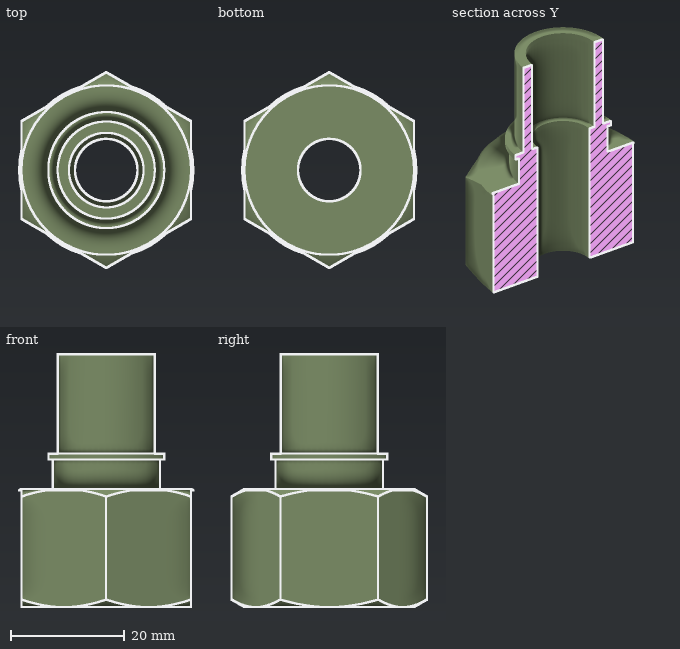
import cadquery as cq
import math

across_flats = 30.0
corner_diameter = across_flats / math.cos(math.radians(30))
nut_height = 20.9
chamfer_slope = math.tan(math.radians(30))

rim_diameter = 30.85
rim_height = (rim_diameter - across_flats) / 2 * chamfer_slope

total_height = 44.75
neck_diameter = 19.0
collar_diameter = 20.55
collar_bottom = 26.1
collar_thickness = 1.05
collar_top = collar_bottom + collar_thickness
tube_diameter = 17.2

tube_bore_diameter = 13.2
through_bore_diameter = 11.0


def cylinder(diameter, bottom, top):
    return cq.Workplane("XY").workplane(offset=bottom).circle(diameter / 2).extrude(top - bottom)


def chamfer_envelope():
    """Solid of revolution that cuts the hexagon corners at both ends."""
    end_radius = across_flats / 2
    corner_radius = corner_diameter / 2
    chamfer_height = (corner_radius - end_radius) * chamfer_slope
    profile = [
        (0, 0),
        (end_radius, 0),
        (corner_radius, chamfer_height),
        (corner_radius, nut_height - chamfer_height),
        (end_radius, nut_height),
        (0, nut_height),
    ]
    return cq.Workplane("XZ").polyline(profile).close().revolve(360, (0, 0), (0, 1))


def conical_rim():
    """Flat disc that narrows upward along the same cone as the top chamfer."""
    profile = [
        (0, nut_height - rim_height),
        (rim_diameter / 2, nut_height - rim_height),
        (across_flats / 2, nut_height),
        (0, nut_height),
    ]
    return cq.Workplane("XZ").polyline(profile).close().revolve(360, (0, 0), (0, 1))


def hex_nut():
    hexagon = (
        cq.Workplane("XY")
        .polygon(6, corner_diameter)
        .extrude(nut_height)
        .rotate((0, 0, 0), (0, 0, 1), 90)
    )
    return hexagon.intersect(chamfer_envelope()).union(conical_rim())


def stub():
    neck = cylinder(neck_diameter, nut_height, collar_bottom)
    collar = cylinder(collar_diameter, collar_bottom, collar_top)
    tube = cylinder(tube_diameter, collar_top, total_height)
    return neck.union(collar).union(tube)


def stepped_bore():
    through_bore = cylinder(through_bore_diameter, 0, total_height)
    tube_bore = cylinder(tube_bore_diameter, collar_top, total_height)
    return through_bore.union(tube_bore)


result = hex_nut().union(stub()).cut(stepped_bore())